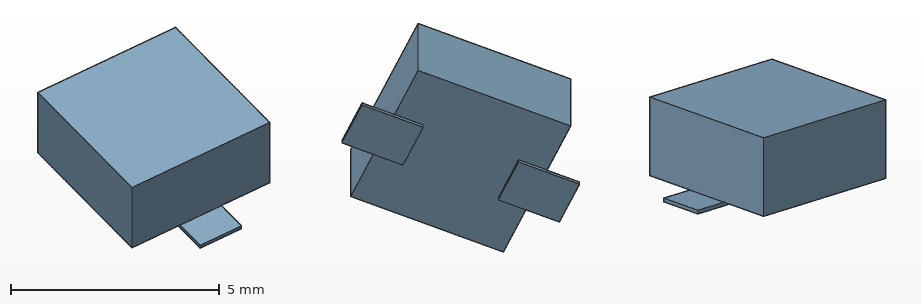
import cadquery as cq

overall_length = 5.7
housing_side = 4.0
housing_height = 2.0
lead_length = 1.6
lead_width = 1.2
lead_thickness = 0.095

lead_offset = (overall_length - lead_length) / 2


def make_housing():
    """Square block whose flat underside rests on the leads."""
    return cq.Workplane("XY").workplane(offset=lead_thickness).box(
        housing_side, housing_side, housing_height, centered=(True, True, False)
    )


def make_lead(side):
    """Flat lead under the housing; side is -1 for the -X end and +1 for the +X end."""
    return cq.Workplane("XY").center(side * lead_offset, 0).box(
        lead_length, lead_width, lead_thickness, centered=(True, True, False)
    )


housing = make_housing()
leads = [make_lead(side) for side in (-1, 1)]

result = cq.Compound.makeCompound([housing.val(), *[lead.val() for lead in leads]])